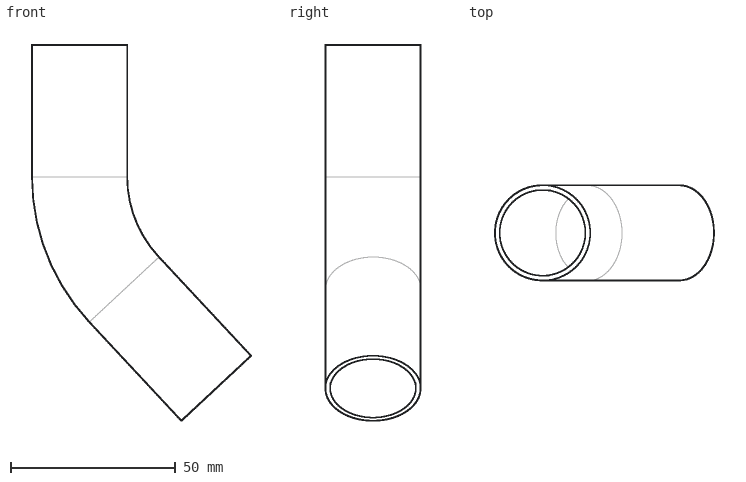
import cadquery as cq
import math

outer_diameter = 29.0
inner_diameter = 26.0
overall_height = 114.0
lower_leg_length = 41.0
bend_radius = 50.0
bend_angle = 43.0


def bend_point(angle_degrees):
    """Point (x, z) on the bend centreline after turning by the given angle."""
    angle = math.radians(angle_degrees)
    return (bend_radius * (1 - math.cos(angle)), -bend_radius * math.sin(angle))


bend_end = bend_point(bend_angle)
slope = math.radians(bend_angle)
lower_end = (
    bend_end[0] + lower_leg_length * math.sin(slope),
    bend_end[1] - lower_leg_length * math.cos(slope),
)
lowest_z = lower_end[1] - outer_diameter / 2 * math.sin(slope)
upper_leg_length = overall_height + lowest_z
centreline = (
    cq.Workplane("XZ")
    .moveTo(0, upper_leg_length)
    .lineTo(0, 0)
    .threePointArc(bend_point(bend_angle / 2), bend_end)
    .lineTo(*lower_end)
)

result = (
    cq.Workplane("XY", origin=(0, 0, upper_leg_length))
    .circle(outer_diameter / 2)
    .circle(inner_diameter / 2)
    .sweep(centreline)
)